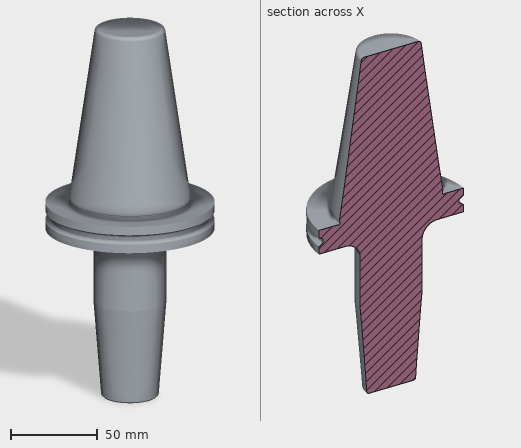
import cadquery as cq
import math

gauge_radius = 69.85 / 2
cone_length = 101.75
cone_slope = 7 / 24 / 2
cone_tip_round = 2.5

land_height = 1.0
neck_depth = 0.3
neck_step_height = 0.4
relief_round = 1.0
relief_depth = 0.3
relief_outer_radius = 36.3

flange_radius = 97.5 / 2
flange_top_z = -3.2
flange_bottom_z = -19.1
groove_center_z = -11.1
groove_root_radius = 46.0
groove_mouth_width = 5.7
groove_wall_angle = math.radians(60 / 2)

nose_radius = 42 / 2
nose_fillet = 10.0
tip_z = -120.0
tip_radius = 33 / 2
nose_taper_angle = math.radians(4.5)
tip_chamfer = 1.0


def make_cone():
    """Steep taper with a rounded small end."""
    top_radius = gauge_radius - cone_length * cone_slope
    cone = (
        cq.Workplane("XZ")
        .lineTo(gauge_radius, 0)
        .lineTo(top_radius, cone_length)
        .lineTo(0, cone_length)
        .close()
        .revolve(360, (0, 0), (0, 1))
    )
    return cone.faces(">Z").edges().fillet(cone_tip_round)


def make_neck():
    """Short land below the gauge plane and the neck, ending in a rounded relief sunk in the flange."""
    neck_radius = gauge_radius - neck_depth
    relief_floor_z = flange_top_z - relief_depth
    return (
        cq.Workplane("XZ")
        .lineTo(gauge_radius, 0)
        .lineTo(gauge_radius, -land_height)
        .lineTo(neck_radius, -land_height - neck_step_height)
        .lineTo(neck_radius, relief_floor_z + relief_round)
        .radiusArc((neck_radius + relief_round, relief_floor_z), -relief_round)
        .lineTo(relief_outer_radius, flange_top_z)
        .lineTo(relief_outer_radius, relief_floor_z)
        .lineTo(0, relief_floor_z)
        .close()
        .revolve(360, (0, 0), (0, 1))
    )


def make_flange():
    """Disc with a trapezoidal gripper groove around its rim and a seat for the neck on top."""
    seat_z = flange_top_z - relief_depth
    half_mouth = groove_mouth_width / 2
    half_root = half_mouth - (flange_radius - groove_root_radius) * math.tan(groove_wall_angle)
    return (
        cq.Workplane("XZ")
        .moveTo(0, seat_z)
        .lineTo(relief_outer_radius, seat_z)
        .lineTo(relief_outer_radius, flange_top_z)
        .lineTo(flange_radius, flange_top_z)
        .lineTo(flange_radius, groove_center_z + half_mouth)
        .lineTo(groove_root_radius, groove_center_z + half_root)
        .lineTo(groove_root_radius, groove_center_z - half_root)
        .lineTo(flange_radius, groove_center_z - half_mouth)
        .lineTo(flange_radius, flange_bottom_z)
        .lineTo(0, flange_bottom_z)
        .close()
        .revolve(360, (0, 0), (0, 1))
    )


def make_nose():
    """Cylinder flaring into the flange, then a slim cone with a chamfered tip."""
    taper_top_z = tip_z + (nose_radius - tip_radius) / math.tan(nose_taper_angle)
    nose = (
        cq.Workplane("XZ")
        .moveTo(0, flange_bottom_z)
        .lineTo(nose_radius + nose_fillet, flange_bottom_z)
        .radiusArc((nose_radius, flange_bottom_z - nose_fillet), -nose_fillet)
        .lineTo(nose_radius, taper_top_z)
        .lineTo(tip_radius, tip_z)
        .lineTo(0, tip_z)
        .close()
        .revolve(360, (0, 0), (0, 1))
    )
    return nose.faces("<Z").edges().chamfer(tip_chamfer)


result = make_cone().union(make_neck()).union(make_flange()).union(make_nose())